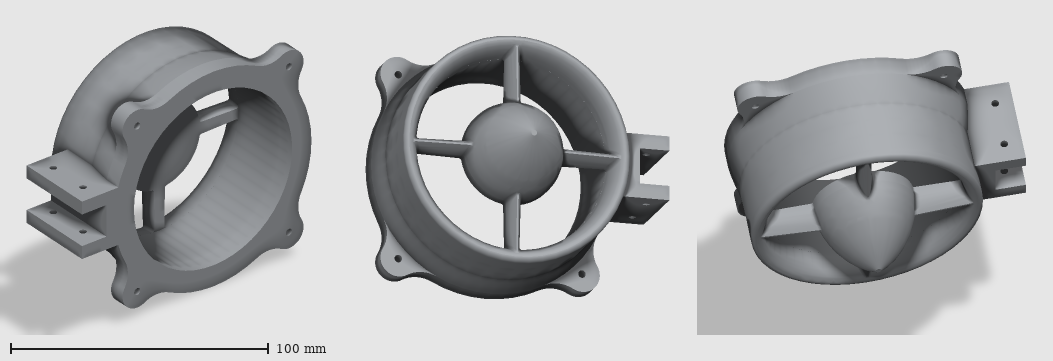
import cadquery as cq
import math


NOSE_X = -67.23
LIP_X = -44.8
JOINT_X = -40.4
SPINNER_BASE_X = -38.5
THROAT_X = -34.0
TRANSITION_X = -19.7
FLANGE_X = -7.3
REAR_X = 0.0

FLANGE_R = 48.275
BORE_R = 38.8
LIP_OUTER_R = 45.85
TRANSITION_R = 46.05
TRANSITION_CROWN = 0.15
LIP_FILLET = 2.0
LIP_CREST_R = LIP_OUTER_R - LIP_FILLET
SPIGOT_R = LIP_CREST_R

HUB_R = 20.0
NOSE_R = 1.15
SPINNER_MID_X = -51.2
SPINNER_MID_R = 15.9

VANE_COUNT = 4
SEAM_ANGLE = 180 / VANE_COUNT
VANE_ROOT_R = 16.0
VANE_TIP_R = 43.3
VANE_ROOT_FRONT_X = -45.2
VANE_TIP_FRONT_X = -43.9
VANE_ROOT_THICKNESS = 5.6
VANE_TIP_THICKNESS = 4.5
VANE_NOSE_THICKNESS = 0.7
VANE_FILLET = 1.0
HUB_JOINT_BAND = 2.5

LUG_COUNT = 4
LUG_OFFSET = 37.2
LUG_R = 7.2
LUG_BLEND_R = 12.7
HOLE_D = 3.0

BRACKET_LENGTH = 35.2
BRACKET_REACH = 16.0
BRACKET_HEIGHT = 25.8
BRACKET_WEB = 4.0
ARM_THICKNESS = 5.8
BRACKET_HOLE_XS = (-27.4, -8.6)
BRACKET_HOLE_Y = -57.15
PAD_INNER_Y = -43.93


def revolve_about_axis(profile):
    """Turn an (X, radius) profile about the duct axis, with its seam midway between two vanes."""
    turned = profile.close().revolve(360, (0, 0, 0), (1, 0, 0))
    return turned.rotate((0, 0, 0), (1, 0, 0), SEAM_ANGLE)


def box_between(x0, x1, y0, y1, z0, z1):
    return (
        cq.Workplane("XY")
        .box(x1 - x0, y1 - y0, z1 - z0, centered=False)
        .translate((x0, y0, z0))
    )


def vane_section(workplane, front_x, thickness):
    """Bowed section: thin in front, as thick at mid chord as at its blunt rear."""
    nose = VANE_NOSE_THICKNESS / 2
    rear = thickness / 2
    mid_x = (front_x + THROAT_X) / 2
    return (
        workplane.moveTo(front_x, -nose)
        .threePointArc((mid_x, -rear), (THROAT_X, -rear))
        .lineTo(THROAT_X, rear)
        .threePointArc((mid_x, rear), (front_x, nose))
        .close()
    )


def make_vane():
    root = cq.Workplane("XY", origin=(0, 0, VANE_ROOT_R))
    section = vane_section(root, VANE_ROOT_FRONT_X, VANE_ROOT_THICKNESS)
    tip = section.workplane(offset=VANE_TIP_R - VANE_ROOT_R)
    return vane_section(tip, VANE_TIP_FRONT_X, VANE_TIP_THICKNESS).loft(ruled=True)


def is_vane_joint(edge):
    """True for the edges where a vane meets the hub or the duct wall."""
    centre = edge.Center()
    radius = math.hypot(centre.y, centre.z)
    beside_vane = min(abs(centre.y), abs(centre.z)) < VANE_ROOT_THICKNESS
    at_hub = abs(radius - HUB_R) < HUB_JOINT_BAND
    at_wall = BORE_R < radius < LIP_CREST_R
    within_chord = VANE_ROOT_FRONT_X < centre.x < THROAT_X - VANE_FILLET
    return beside_vane and (at_hub or at_wall) and within_chord


def make_intake():
    """Bellmouth lip with the hub, the spinner and the vanes that hold them."""
    lip = revolve_about_axis(
        cq.Workplane("XY")
        .moveTo(THROAT_X, SPIGOT_R)
        .lineTo(JOINT_X, SPIGOT_R)
        .lineTo(JOINT_X, LIP_OUTER_R)
        .lineTo(LIP_X + LIP_FILLET, LIP_OUTER_R)
        .radiusArc((LIP_X, LIP_CREST_R), -LIP_FILLET)
        .ellipseArc(THROAT_X - LIP_X, LIP_CREST_R - BORE_R, 180, 270, startAtCurrent=True)
    )
    hub = revolve_about_axis(
        cq.Workplane("XY")
        .moveTo(THROAT_X, 0)
        .lineTo(NOSE_X, 0)
        .lineTo(NOSE_X, NOSE_R)
        .threePointArc((SPINNER_MID_X, SPINNER_MID_R), (SPINNER_BASE_X, HUB_R))
        .lineTo(THROAT_X, HUB_R)
    )
    intake = lip.union(hub)
    vane = make_vane()
    for index in range(VANE_COUNT):
        intake = intake.union(vane.rotate((0, 0, 0), (1, 0, 0), index * 360 / VANE_COUNT))
    joints = [edge for edge in intake.edges().vals() if is_vane_joint(edge)]
    return intake.newObject(joints).fillet(VANE_FILLET)


def polar(radius, angle):
    return (radius * math.cos(angle), radius * math.sin(angle))


def make_lug():
    """Lug on the 45-degree diagonal, blended into the flange rim by two concave arcs."""
    diagonal = math.pi / 4
    lug_distance = LUG_OFFSET * math.sqrt(2)
    blend_distance = FLANGE_R + LUG_BLEND_R
    cosine = (lug_distance**2 + blend_distance**2 - (LUG_R + LUG_BLEND_R) ** 2) / (
        2 * lug_distance * blend_distance
    )
    swing = math.acos(cosine)
    rim_points = []
    lug_points = []
    blend_points = []
    for side in (-1, 1):
        angle = diagonal + side * swing
        centre = polar(blend_distance, angle)
        to_lug = math.atan2(LUG_OFFSET - centre[1], LUG_OFFSET - centre[0])
        reach = polar(LUG_BLEND_R, to_lug)
        lug_point = (centre[0] + reach[0], centre[1] + reach[1])
        rim_point = polar(FLANGE_R, angle)
        toward_chord = math.atan2(
            (rim_point[1] + lug_point[1]) / 2 - centre[1],
            (rim_point[0] + lug_point[0]) / 2 - centre[0],
        )
        sag = polar(LUG_BLEND_R, toward_chord)
        rim_points.append(rim_point)
        lug_points.append(lug_point)
        blend_points.append((centre[0] + sag[0], centre[1] + sag[1]))
    crown = polar(lug_distance + LUG_R, diagonal)
    inner = polar((BORE_R + FLANGE_R) / 2, diagonal)
    return (
        cq.Workplane("YZ", origin=(FLANGE_X, 0, 0))
        .moveTo(*inner)
        .lineTo(*rim_points[0])
        .threePointArc(blend_points[0], lug_points[0])
        .threePointArc(crown, lug_points[1])
        .threePointArc(blend_points[1], rim_points[1])
        .close()
        .extrude(REAR_X - FLANGE_X)
    )


def make_housing():
    """Duct wall that flares to the rear flange, with four lugs and the bracket pad."""
    flare_mid_x = (TRANSITION_X + FLANGE_X) / 2
    flare_mid_r = (TRANSITION_R + FLANGE_R) / 2 + TRANSITION_CROWN
    housing = revolve_about_axis(
        cq.Workplane("XY")
        .moveTo(REAR_X, BORE_R)
        .lineTo(THROAT_X, BORE_R)
        .lineTo(THROAT_X, SPIGOT_R)
        .lineTo(JOINT_X, SPIGOT_R)
        .lineTo(JOINT_X, LIP_OUTER_R)
        .lineTo(TRANSITION_X, TRANSITION_R)
        .threePointArc((flare_mid_x, flare_mid_r), (FLANGE_X, FLANGE_R))
        .lineTo(REAR_X, FLANGE_R)
    )
    lug = make_lug()
    for index in range(LUG_COUNT):
        housing = housing.union(lug.rotate((0, 0, 0), (1, 0, 0), index * 360 / LUG_COUNT))
    half = BRACKET_HEIGHT / 2
    pad = box_between(REAR_X - BRACKET_LENGTH, REAR_X, -FLANGE_R, PAD_INNER_Y, -half, half)
    housing = housing.union(pad)
    holes = (
        cq.Workplane("YZ", origin=(FLANGE_X, 0, 0))
        .rect(2 * LUG_OFFSET, 2 * LUG_OFFSET, forConstruction=True)
        .vertices()
        .circle(HOLE_D / 2)
        .extrude(REAR_X - FLANGE_X)
    )
    return housing.cut(holes)


def make_bracket():
    """Channel open towards -Y, with two pairs of holes through its arms."""
    front_x = REAR_X - BRACKET_LENGTH
    half = BRACKET_HEIGHT / 2
    slot_half = half - ARM_THICKNESS
    outer_y = -FLANGE_R - BRACKET_REACH
    block = box_between(front_x, REAR_X, outer_y, -FLANGE_R, -half, half)
    slot = box_between(front_x, REAR_X, outer_y, -FLANGE_R - BRACKET_WEB, -slot_half, slot_half)
    holes = (
        cq.Workplane("XY", origin=(0, 0, -half))
        .pushPoints([(x, BRACKET_HOLE_Y) for x in BRACKET_HOLE_XS])
        .circle(HOLE_D / 2)
        .extrude(BRACKET_HEIGHT)
    )
    return block.cut(slot).cut(holes)


intake = make_intake()
housing = make_housing()
bracket = make_bracket()

result = cq.Compound.makeCompound(
    [intake.solids().val(), housing.solids().val(), bracket.solids().val()]
)